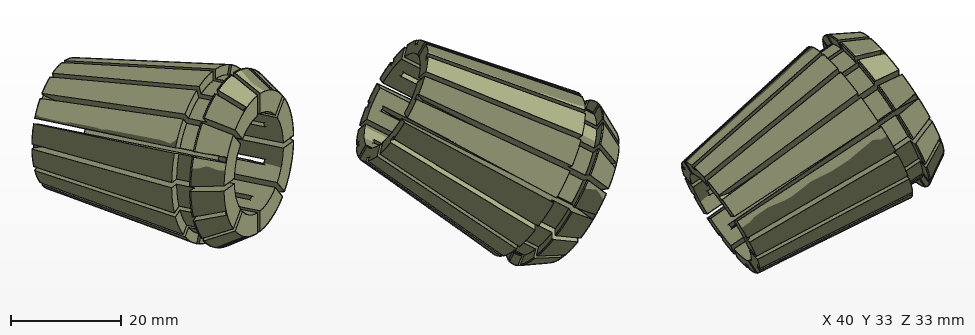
import cadquery as cq
import math

length = 40.0
max_radius = 33.0 / 2
bore_radius = 19.0 / 2
clamping_cone_angle = 8.0
nose_cone_angle = 30.0

groove_start = 30.9
groove_end = 34.5
groove_radius = 14.6
nose_start = 34.8

small_end_radius = max_radius - groove_start * math.tan(math.radians(clamping_cone_angle))
nose_end_radius = max_radius - (length - nose_start) * math.tan(math.radians(nose_cone_angle))

slot_width = 1.0
slots_per_set = 8
slot_pitch = 360.0 / slots_per_set
saw_radius = 40.0
rear_exit_radius = 11.4
rear_exit_angle = 43.5
front_exit_radius = 13.7
front_exit_angle = 53.8

overrun = 0.8
cutter_inner = bore_radius - overrun
cutter_outer = max_radius + overrun
cutter_middle = (cutter_inner + cutter_outer) / 2


def collet_blank():
    """Bored body of revolution: clamping cone, groove, land and nose cone."""
    profile = [
        (0, bore_radius),
        (0, small_end_radius),
        (groove_start, max_radius),
        (groove_start, groove_radius),
        (groove_end, groove_radius),
        (groove_end, max_radius),
        (nose_start, max_radius),
        (length, nose_end_radius),
        (length, bore_radius),
    ]
    return cq.Workplane("XY").polyline(profile).close().revolve(360, (0, 0), (1, 0))


def slot_cutter(exit_radius, exit_angle):
    """Slot open at X = 0 whose floor leaves the face at X = length along a saw-blade arc.

    The arc crosses that face at exit_radius, inclined to the axis by exit_angle degrees.
    """
    slope = math.radians(exit_angle)
    saw_center_x = length - saw_radius * math.sin(slope)
    saw_center_radius = exit_radius + saw_radius * math.cos(slope)

    def floor_point(radius):
        reach = math.sqrt(saw_radius**2 - (saw_center_radius - radius) ** 2)
        return (saw_center_x + reach, radius)

    return (
        cq.Workplane("XY")
        .moveTo(-overrun, cutter_inner)
        .lineTo(*floor_point(cutter_inner))
        .threePointArc(floor_point(cutter_middle), floor_point(cutter_outer))
        .lineTo(-overrun, cutter_outer)
        .close()
        .extrude(slot_width / 2, both=True)
    )


def cut_slot_set(body, cutter, first_angle):
    """Cut one evenly spaced ring of slots."""
    for index in range(slots_per_set):
        angle = first_angle + index * slot_pitch
        body = body.cut(cutter.rotate((0, 0, 0), (1, 0, 0), angle))
    return body


front_slot = slot_cutter(front_exit_radius, front_exit_angle)

rear_slot = slot_cutter(rear_exit_radius, rear_exit_angle).mirror("YZ", (length / 2, 0, 0))

result = collet_blank()
result = cut_slot_set(result, rear_slot, 0)
result = cut_slot_set(result, front_slot, slot_pitch / 2)